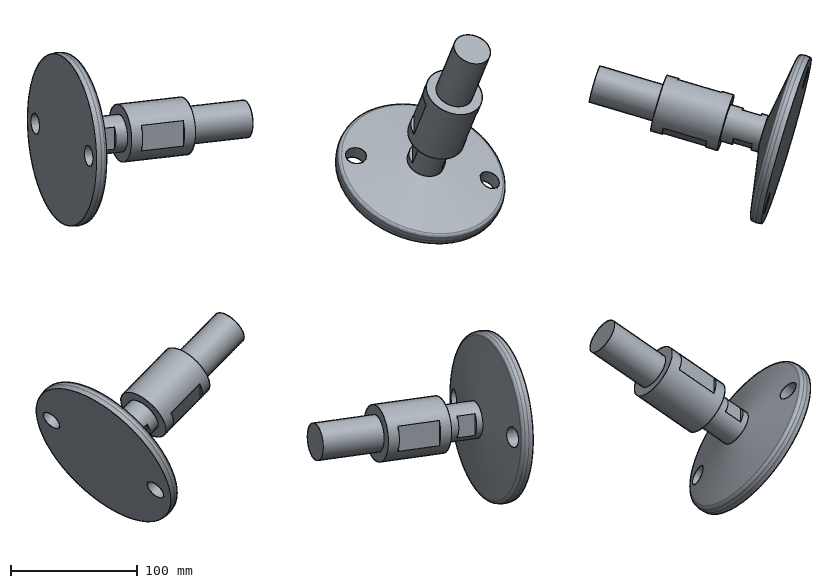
import cadquery as cq
import math


RIM_DIAMETER = 138.0
PARTING_HEIGHT = 4.1
RIM_DRAFT = 8.0
RIM_CORNER_HEIGHT = 9.4
RIM_FILLET = 3.0
FOOT_HEIGHT = 19.0
CONE_TOP_DIAMETER = 24.0

ANCHOR_HOLE_DIAMETER = 16.5
ANCHOR_HOLE_RADIUS = 54.8

SPINDLE_DIAMETER = 30.0
SPINDLE_TOP = 158.0
SPINDLE_FLATS_WIDTH = 24.0
SPINDLE_FLATS_START = 24.5
SPINDLE_FLATS_LENGTH = 15.5

SLEEVE_DIAMETER = 46.0
SLEEVE_START = 50.0
SLEEVE_LENGTH = 55.0
SLEEVE_FLATS_WIDTH = 41.0
SLEEVE_FLATS_LENGTH = 36.0

SIDES = (-1, 1)


def cylinder(diameter, start, length):
    """Cylinder on the Y axis."""
    return cq.Workplane("XZ", origin=(0, start, 0)).circle(diameter / 2).extrude(-length)


def cut_wrench_flats(body, diameter, width, start, length):
    """Mill a pair of flats that face -X and +X."""
    depth = (diameter - width) / 2
    for side in SIDES:
        center_x = side * (width + depth) / 2
        cutter = cq.Workplane("XY").box(depth, length, diameter)
        body = body.cut(cutter.translate((center_x, start + length / 2, 0)))
    return body


def make_foot():
    """Conical plate with a drafted, rounded rim and two tilted anchor holes."""
    rim_radius = RIM_DIAMETER / 2
    cone_top_radius = CONE_TOP_DIAMETER / 2
    draft_slope = math.tan(math.radians(RIM_DRAFT))
    bottom_radius = rim_radius - PARTING_HEIGHT * draft_slope
    corner_radius = rim_radius - (RIM_CORNER_HEIGHT - PARTING_HEIGHT) * draft_slope
    cone_rise = FOOT_HEIGHT - RIM_CORNER_HEIGHT
    cone_run = corner_radius - cone_top_radius
    cone_angle = math.atan2(cone_rise, cone_run)

    foot = (
        cq.Workplane("XY")
        .moveTo(0, 0)
        .lineTo(bottom_radius, 0)
        .lineTo(rim_radius, PARTING_HEIGHT)
        .lineTo(corner_radius, RIM_CORNER_HEIGHT)
        .lineTo(cone_top_radius, FOOT_HEIGHT)
        .lineTo(0, FOOT_HEIGHT)
        .close()
        .revolve(360, (0, 0, 0), (0, 1, 0))
    )
    rim_corner = cq.selectors.NearestToPointSelector((0, RIM_CORNER_HEIGHT, 0))
    foot = foot.edges(rim_corner).fillet(RIM_FILLET)

    hole_height = FOOT_HEIGHT - (ANCHOR_HOLE_RADIUS - cone_top_radius) * math.tan(cone_angle)
    for side in SIDES:
        center = cq.Vector(side * ANCHOR_HOLE_RADIUS, hole_height, 0)
        axis = cq.Vector(side * math.sin(cone_angle), math.cos(cone_angle), 0)
        drill = cq.Solid.makeCylinder(
            ANCHOR_HOLE_DIAMETER / 2, 2 * FOOT_HEIGHT, center - axis * FOOT_HEIGHT, axis
        )
        foot = foot.cut(cq.Workplane(obj=drill))
    return foot


def make_footed_spindle():
    """Foot and spindle in one piece, with wrench flats just above the foot."""
    spindle = cylinder(SPINDLE_DIAMETER, FOOT_HEIGHT, SPINDLE_TOP - FOOT_HEIGHT)
    spindle = cut_wrench_flats(
        spindle, SPINDLE_DIAMETER, SPINDLE_FLATS_WIDTH, SPINDLE_FLATS_START, SPINDLE_FLATS_LENGTH
    )
    return make_foot().union(spindle)


def make_sleeve():
    """Sleeve bored to fit the spindle, with wrench flats at the middle of its length."""
    sleeve = cylinder(SLEEVE_DIAMETER, SLEEVE_START, SLEEVE_LENGTH)
    flats_start = SLEEVE_START + (SLEEVE_LENGTH - SLEEVE_FLATS_LENGTH) / 2
    sleeve = cut_wrench_flats(
        sleeve, SLEEVE_DIAMETER, SLEEVE_FLATS_WIDTH, flats_start, SLEEVE_FLATS_LENGTH
    )
    bore = cylinder(SPINDLE_DIAMETER, SLEEVE_START, SLEEVE_LENGTH)
    return sleeve.cut(bore)


footed_spindle = make_footed_spindle()
sleeve = make_sleeve()

result = cq.Compound.makeCompound([footed_spindle.val(), sleeve.val()])